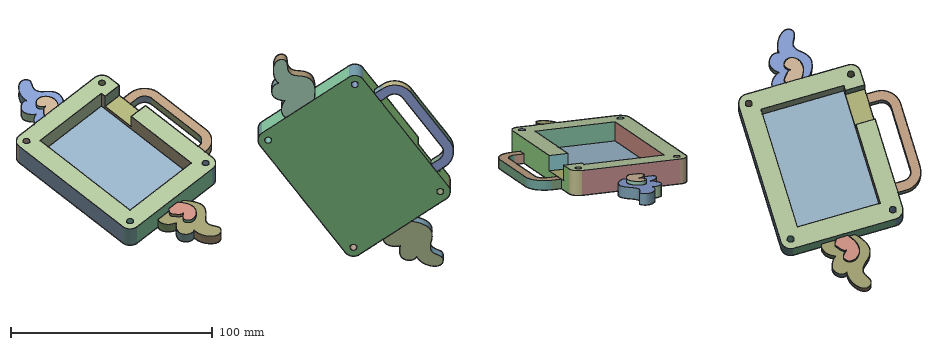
import cadquery as cq


case_width = 83.0
case_depth = 63.0
case_height = 13.0
case_corner_radius = 5.0

pocket_left_wall = 9.6
pocket_right_wall = 10.0
pocket_end_wall = 10.0
pocket_floor = 3.0

slot_from_left = 12.2
slot_width = 18.4
slot_floor = 5.0

screw_hole_diameter = 3.3
screw_hole_inset = 5.0

handle_width = 53.2
handle_reach = 15.0
handle_bar = 5.0
handle_height = 5.0
handle_outer_radius = 10.0
handle_inner_radius = handle_outer_radius - handle_bar

overall_width = 139.2
wing_length = (overall_width - case_width) / 2
wing_height = 6.0
swirl_height = 2.0

case_right = case_width / 2
case_left = -case_right
case_rear = case_depth / 2
case_front = -case_rear
pocket_width = case_width - pocket_left_wall - pocket_right_wall
pocket_depth = case_depth - 2 * pocket_end_wall


def block(x_start, y_start, z_start, width, depth, height):
    """Box placed by its left, front, lower corner."""
    corner = (x_start, y_start, z_start)
    return cq.Workplane("XY").box(width, depth, height, centered=False).translate(corner)


def make_case():
    """Rounded tray with an open pocket, a cable slot and four screw holes."""
    body = (
        cq.Workplane("XY")
        .rect(case_width, case_depth)
        .extrude(case_height)
        .edges("|Z")
        .fillet(case_corner_radius)
    )
    pocket = block(
        case_left + pocket_left_wall,
        case_front + pocket_end_wall,
        pocket_floor,
        pocket_width,
        pocket_depth,
        case_height - pocket_floor,
    )
    slot = block(
        case_left + slot_from_left,
        case_rear - pocket_end_wall,
        slot_floor,
        slot_width,
        pocket_end_wall,
        case_height - slot_floor,
    )
    screw_holes = (
        cq.Workplane("XY")
        .rect(case_width - 2 * screw_hole_inset, case_depth - 2 * screw_hole_inset, forConstruction=True)
        .vertices()
        .circle(screw_hole_diameter / 2)
        .extrude(case_height)
    )
    return body.cut(pocket).cut(slot).cut(screw_holes)


def rounded_arch(width, reach, height, corner_radius):
    """Block standing on the rear face of the case, rounded at its two far corners."""
    return (
        block(-width / 2, case_rear, 0, width, reach, height)
        .edges("|Z and >Y")
        .fillet(corner_radius)
    )


def make_handle():
    """Flat U-shaped carrying handle against the rear face of the case."""
    outside = rounded_arch(handle_width, handle_reach, handle_height, handle_outer_radius)
    opening = rounded_arch(
        handle_width - 2 * handle_bar,
        handle_reach - handle_bar,
        handle_height,
        handle_inner_radius,
    )
    return outside.cut(opening)


def make_wing():
    """Right-hand wing; outline points are measured from the middle of the case's right face."""
    return (
        cq.Workplane("XY", origin=(case_right, 0, 0))
        .moveTo(0, 5.3)
        .spline(
            [
                (4.0, 8.6),
                (9.5, 10.3),
                (13.9, 8.0),
                (17.0, 4.7),
                (19.3, 3.9),
                (22.5, 5.0),
                (25.6, 6.1),
                (27.5, 4.9),
                (wing_length, 3.0),
                (27.1, 0.3),
                (24.9, -2.0),
                (22.1, -3.5),
                (17.5, -4.0),
            ],
            includeCurrent=True,
        )
        .spline([(18.0, -6.1), (16.7, -8.6), (13.6, -10.3), (10.6, -9.5), (8.0, -7.0)], includeCurrent=True)
        .spline([(6.5, -9.6), (4.5, -11.5), (2.0, -12.4), (0, -12.0)], includeCurrent=True)
        .close()
        .extrude(wing_height)
    )


def make_swirl():
    """Raised two-lobed swirl on the right-hand wing, butting against the case."""
    return (
        cq.Workplane("XY", origin=(case_right, 0, wing_height))
        .moveTo(0, 1.7)
        .spline(
            [
                (3.5, 4.2),
                (7.4, 5.3),
                (11.1, 3.9),
                (13.0, 1.0),
                (12.7, -1.8),
                (10.3, -3.6),
                (8.2, -2.6),
                (7.1, -1.1),
            ],
            includeCurrent=True,
        )
        .spline([(6.3, -3.2), (4.5, -4.7), (2.9, -5.7), (1.4, -5.3), (0, -4.2)], includeCurrent=True)
        .close()
        .extrude(swirl_height)
    )


def left_and_right(right_body):
    """A right-hand body and its mirror image on the left of the case."""
    return [right_body.val(), right_body.mirror("YZ").val()]


case = make_case()
handle = make_handle()
wings = left_and_right(make_wing())
swirls = left_and_right(make_swirl())

result = cq.Compound.makeCompound([case.val(), handle.val(), *wings, *swirls])